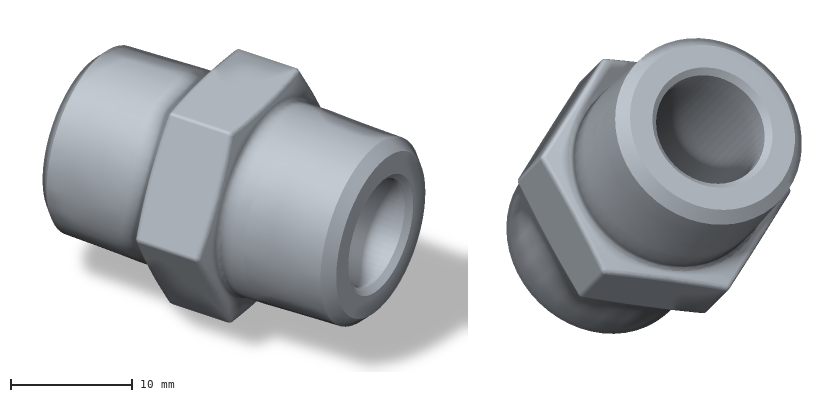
import cadquery as cq
import math

length = 28.0
bore_diameter = 9.5
bore_chamfer = 0.5

body_diameter = 16.77
taper_length = 7.15
taper_ratio = 1 / 16
end_chamfer = 0.95

across_flats = 19.0
root_half_width = 3.45
side_slope = math.radians(10)
fillet_radius = 0.4

seam_angle = 75

x_axis = ((0, 0, 0), (1, 0, 0))
half_length = length / 2
body_radius = body_diameter / 2
tip_radius = body_radius - taper_length * taper_ratio / 2
taper_end = half_length - end_chamfer
taper_start = taper_end - taper_length


def make_body():
    """Solid of revolution: straight middle, tapered ends, end chamfers."""
    profile = (
        cq.Workplane("XY")
        .moveTo(-half_length, 0)
        .lineTo(-half_length, tip_radius - end_chamfer)
        .lineTo(-taper_end, tip_radius)
        .lineTo(-taper_start, body_radius)
        .lineTo(taper_start, body_radius)
        .lineTo(taper_end, tip_radius)
        .lineTo(half_length, tip_radius - end_chamfer)
        .lineTo(half_length, 0)
        .close()
    )
    return profile.revolve(360, *x_axis)


def make_hexagon():
    """Hexagonal prism with shallow conical sides and every edge rounded."""
    corner_radius = across_flats / math.sqrt(3)
    rim_radius = corner_radius + fillet_radius
    rim_half_width = root_half_width - (rim_radius - body_radius) * math.tan(side_slope)

    prism = (
        cq.Workplane("YZ")
        .polygon(6, 2 * corner_radius)
        .extrude(root_half_width, both=True)
    )
    cone_sides = (
        cq.Workplane("XY")
        .moveTo(-root_half_width, 0)
        .lineTo(-root_half_width, body_radius)
        .lineTo(-rim_half_width, rim_radius)
        .lineTo(rim_half_width, rim_radius)
        .lineTo(root_half_width, body_radius)
        .lineTo(root_half_width, 0)
        .close()
        .revolve(360, *x_axis)
        .rotate(*x_axis, seam_angle)
    )
    return prism.intersect(cone_sides).edges("not %CIRCLE").fillet(fillet_radius)


def make_root_fillet(side):
    """Concave ring between the body and one sloped hexagon side (side is -1 or 1)."""
    centre_radius = body_radius + fillet_radius
    centre_x = (
        root_half_width
        - fillet_radius * math.tan(side_slope)
        + fillet_radius / math.cos(side_slope)
    )
    body_tangent_angle = 3 * math.pi / 2
    side_tangent_angle = math.pi + side_slope
    middle_angle = (body_tangent_angle + side_tangent_angle) / 2
    middle = (
        side * (centre_x + fillet_radius * math.cos(middle_angle)),
        centre_radius + fillet_radius * math.sin(middle_angle),
    )
    top = (
        side * (centre_x + fillet_radius * math.cos(side_tangent_angle)),
        centre_radius + fillet_radius * math.sin(side_tangent_angle),
    )
    inner_x = side * root_half_width / 2
    inner_radius = body_radius - fillet_radius
    return (
        cq.Workplane("XY")
        .moveTo(side * centre_x, body_radius)
        .threePointArc(middle, top)
        .lineTo(inner_x, top[1])
        .lineTo(inner_x, inner_radius)
        .lineTo(side * centre_x, inner_radius)
        .close()
        .revolve(360, *x_axis)
    )


def make_bore():
    """Through bore with a 45 degree chamfer at each mouth."""
    bore_radius = bore_diameter / 2
    profile = (
        cq.Workplane("XY")
        .moveTo(-half_length, 0)
        .lineTo(-half_length, bore_radius + bore_chamfer)
        .lineTo(-half_length + bore_chamfer, bore_radius)
        .lineTo(half_length - bore_chamfer, bore_radius)
        .lineTo(half_length, bore_radius + bore_chamfer)
        .lineTo(half_length, 0)
        .close()
    )
    return profile.revolve(360, *x_axis)


result = make_body().union(make_hexagon())
for end in (-1, 1):
    result = result.union(make_root_fillet(end))
result = result.cut(make_bore())